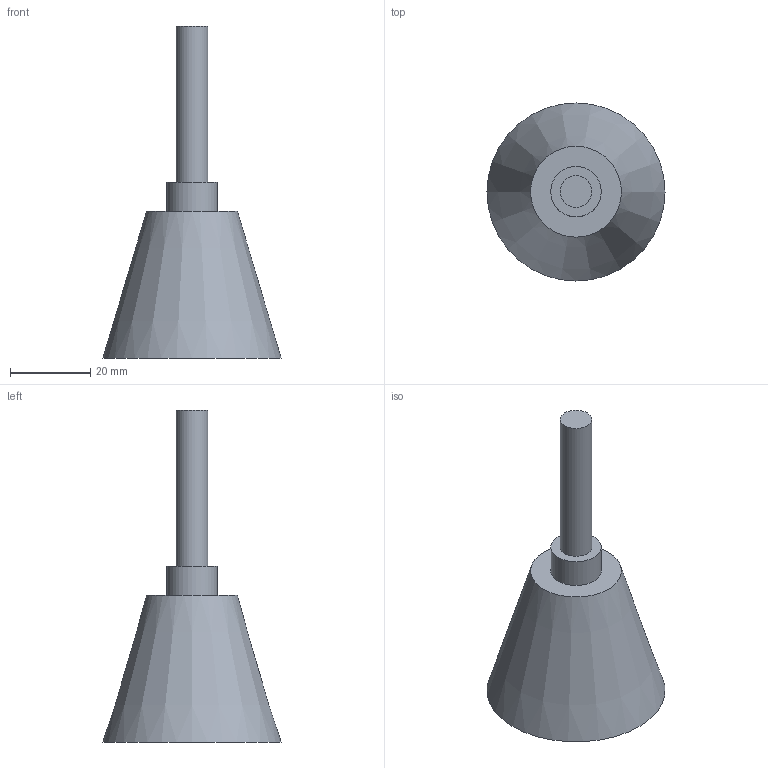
import cadquery as cq

total_height = 82.93
base_diameter = 44.48

head_top_diameter = 22.7
head_height = 36.6

collar_diameter = 12.61
collar_height = 7.25
shank_diameter = 7.91

collar_top = head_height + collar_height

half_section = (
    cq.Workplane("XZ")
    .moveTo(0, 0)
    .lineTo(base_diameter / 2, 0)
    .lineTo(head_top_diameter / 2, head_height)
    .lineTo(collar_diameter / 2, head_height)
    .lineTo(collar_diameter / 2, collar_top)
    .lineTo(shank_diameter / 2, collar_top)
    .lineTo(shank_diameter / 2, total_height)
    .lineTo(0, total_height)
    .close()
)

result = half_section.revolve(360, (0, 0, 0), (0, 1, 0))